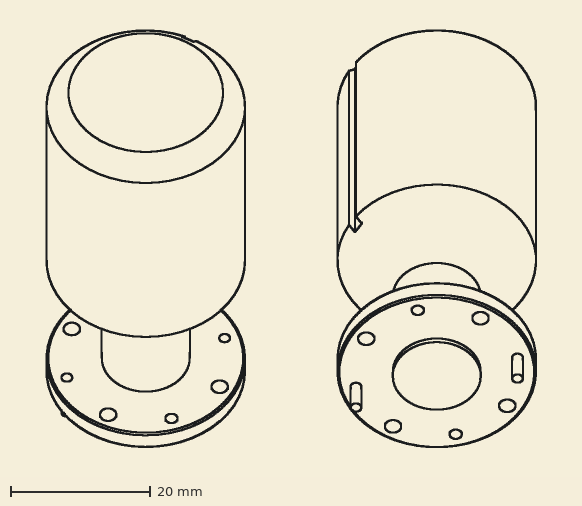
import cadquery as cq
import math

total_height = 67.4
outer_diameter = 28.55
outer_radius = outer_diameter / 2

flange_bottom = 4.65
flange_thickness = 3.2
flange_top = flange_bottom + flange_thickness
spigot_height = 0.8
neck_bottom = flange_bottom - spigot_height
neck_top = 21.55
barrel_bottom = 29.65

neck_radius = 6.3
crown_chamfer = 3.2
flange_edge_chamfer = 0.3

keyway_width = 1.9
keyway_depth = 1.0

pitch_radius = 11.9
screw_hole_diameter = 2.35
screw_hole_count = 4
dowel_hole_diameter = 1.75
pin_diameter = 1.55
pin_angles = (45, 225)
dowel_hole_angles = (135, 315)


def pitch_point(angle):
    """Return the XY position at an angle in degrees on the pitch circle."""
    radians = math.radians(angle)
    return (pitch_radius * math.cos(radians), pitch_radius * math.sin(radians))


def make_turned_body():
    """Barrel with a chamfered crown, tapering to a neck."""
    return (
        cq.Workplane("XZ")
        .moveTo(0, neck_bottom)
        .lineTo(neck_radius, neck_bottom)
        .lineTo(neck_radius, neck_top)
        .lineTo(outer_radius, barrel_bottom)
        .lineTo(outer_radius, total_height - crown_chamfer)
        .lineTo(outer_radius - crown_chamfer, total_height)
        .lineTo(0, total_height)
        .close()
        .revolve(360, (0, 0, 0), (0, 1, 0))
    )


def make_keyway():
    """Cutter for the straight keyway that runs the length of the barrel and out through its taper."""
    return (
        cq.Workplane("XY", origin=(0, outer_radius, neck_top))
        .rect(keyway_width, 2 * keyway_depth)
        .extrude(total_height - neck_top)
    )


def make_flange_disc():
    """Flange disc with both rims chamfered."""
    return (
        cq.Workplane("XY", origin=(0, 0, flange_bottom))
        .circle(outer_radius)
        .extrude(flange_thickness)
        .edges()
        .chamfer(flange_edge_chamfer)
    )


def make_flange_holes(diameter, angles):
    """Cutters for round holes through the flange."""
    return (
        cq.Workplane("XY", origin=(0, 0, flange_bottom))
        .pushPoints([pitch_point(angle) for angle in angles])
        .circle(diameter / 2)
        .extrude(flange_thickness)
    )


def make_housing():
    """Barrel, neck and flange in one piece, with all flange holes."""
    screw_hole_angles = [i * 360 / screw_hole_count for i in range(screw_hole_count)]
    housing = make_turned_body().cut(make_keyway()).union(make_flange_disc())
    housing = housing.cut(make_flange_holes(screw_hole_diameter, screw_hole_angles))
    housing = housing.cut(make_flange_holes(dowel_hole_diameter, dowel_hole_angles))
    return housing.cut(make_flange_holes(pin_diameter, pin_angles))


def make_pin(angle):
    """Alignment pin, flush with the flange top and projecting below it."""
    return (
        cq.Workplane("XY")
        .center(*pitch_point(angle))
        .circle(pin_diameter / 2)
        .extrude(flange_top)
    )


housing = make_housing()
pins = [make_pin(angle) for angle in pin_angles]

result = cq.Compound.makeCompound([housing.val(), *[pin.val() for pin in pins]])